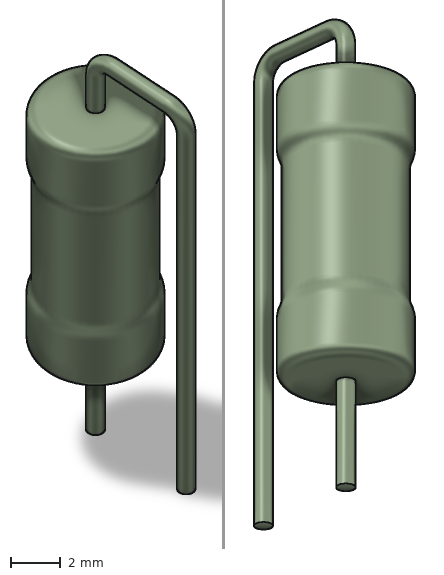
import cadquery as cq
import math

total_height = 20.9
total_width = 8.28

cap_diameter = 5.6
barrel_diameter = 5.2
body_bottom = 4.68
body_top = 17.7
end_round = 0.5
cap_height = 2.72
neck_height = 0.88

lower_lead_diameter = 0.8
bent_lead_diameter = 0.77
bend_radius = 1.0

cap_radius = cap_diameter / 2
barrel_radius = barrel_diameter / 2
bent_lead_radius = bent_lead_diameter / 2
lead_pitch = total_width - cap_radius - bent_lead_radius
crossbar_z = total_height - bent_lead_radius


def make_body():
    """Revolved body: two rounded end caps joined to a thinner barrel by S-shaped necks."""
    lower_neck_start = body_bottom + cap_height
    lower_neck_end = lower_neck_start + neck_height
    upper_neck_start = body_top - cap_height
    upper_neck_end = upper_neck_start - neck_height
    neck_mid_radius = (cap_radius + barrel_radius) / 2
    round_diagonal = end_round * math.cos(math.radians(45))
    rim_center = cap_radius - end_round

    profile = (
        cq.Workplane("XZ")
        .moveTo(0, body_bottom)
        .lineTo(rim_center, body_bottom)
        .threePointArc(
            (rim_center + round_diagonal, body_bottom + end_round - round_diagonal),
            (cap_radius, body_bottom + end_round),
        )
        .lineTo(cap_radius, lower_neck_start)
        .tangentArcPoint((neck_mid_radius, lower_neck_start + neck_height / 2), relative=False)
        .tangentArcPoint((barrel_radius, lower_neck_end), relative=False)
        .lineTo(barrel_radius, upper_neck_end)
        .tangentArcPoint((neck_mid_radius, upper_neck_end + neck_height / 2), relative=False)
        .tangentArcPoint((cap_radius, upper_neck_start), relative=False)
        .lineTo(cap_radius, body_top - end_round)
        .threePointArc(
            (rim_center + round_diagonal, body_top - end_round + round_diagonal),
            (rim_center, body_top),
        )
        .lineTo(0, body_top)
        .close()
    )
    return profile.revolve(360, (0, 0, 0), (0, 1, 0))


def make_lower_lead():
    """Straight lead from the tip up to the bottom face of the body."""
    return cq.Workplane("XY").circle(lower_lead_diameter / 2).extrude(body_bottom)


def make_bent_lead():
    """Lead that leaves the top face, turns sideways and runs down beside the body."""
    bend_start_z = crossbar_z - bend_radius
    bend_end_x = lead_pitch - bend_radius
    path = (
        cq.Workplane("XZ")
        .moveTo(0, body_top)
        .lineTo(0, bend_start_z)
        .tangentArcPoint((bend_radius, crossbar_z), relative=False)
        .lineTo(bend_end_x, crossbar_z)
        .tangentArcPoint((lead_pitch, bend_start_z), relative=False)
        .lineTo(lead_pitch, 0)
    )
    return cq.Workplane("XY").workplane(offset=body_top).circle(bent_lead_radius).sweep(path)


body = make_body()
lower_lead = make_lower_lead()
bent_lead = make_bent_lead()

result = cq.Compound.makeCompound([body.val(), lower_lead.val(), bent_lead.val()])